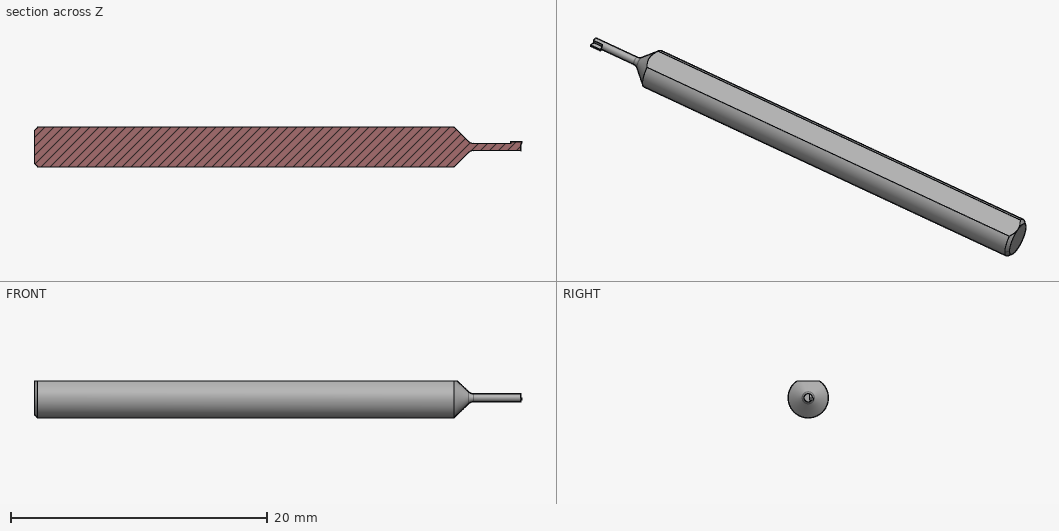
import cadquery as cq
import math

total_length = 38.1
shank_radius = 3.15 / 2
overall_height = 2.9
flat_height = overall_height - shank_radius

rear_chamfer = 0.25
shank_end = 32.75
tip_overhang = 0.1
neck_end = total_length - tip_overhang
neck_radius = 0.325
cone_angle = 44.0
blend_radius = 0.55

tip_length = 0.8
tip_reach = 0.42
tip_inner = 0.1
tip_thickness = 0.2


def revolved_body():
    """Chamfered shank, cone blending tangentially into the slim neck."""
    angle = math.radians(cone_angle)
    blend_y = neck_radius + blend_radius * (1 - math.cos(angle))
    blend_x = shank_end + (shank_radius - blend_y) / math.tan(angle)
    neck_start = blend_x + blend_radius * math.sin(angle)
    mid_x = neck_start - blend_radius * math.sin(angle / 2)
    mid_y = neck_radius + blend_radius * (1 - math.cos(angle / 2))
    return (
        cq.Workplane("XY")
        .lineTo(0, shank_radius - rear_chamfer)
        .lineTo(rear_chamfer, shank_radius)
        .lineTo(shank_end, shank_radius)
        .lineTo(blend_x, blend_y)
        .threePointArc((mid_x, mid_y), (neck_start, neck_radius))
        .lineTo(neck_end, neck_radius)
        .lineTo(neck_end, 0)
        .close()
        .revolve(360, (0, 0, 0), (1, 0, 0))
    )


def shank_flat():
    """Material above the clamping flat."""
    cutter_size = 2 * shank_radius
    return (
        cq.Workplane("XY", origin=(0, 0, flat_height))
        .rect(2 * total_length, cutter_size)
        .extrude(cutter_size)
    )


def rake_notch():
    """Notch above the rake plane, on the +Y side of the neck end."""
    return (
        cq.Workplane("XY")
        .moveTo(neck_end - tip_length, tip_inner)
        .lineTo(total_length, tip_inner)
        .lineTo(total_length, shank_radius)
        .lineTo(neck_end - tip_length, shank_radius)
        .close()
        .extrude(shank_radius)
    )


def cutting_tip():
    """Pointed tooth whose top is the rake plane through the axis."""
    return (
        cq.Workplane("XY")
        .moveTo(neck_end - tip_length, tip_inner)
        .lineTo(neck_end - tip_length, tip_reach)
        .lineTo(total_length, tip_reach)
        .lineTo(neck_end, tip_inner)
        .close()
        .extrude(-tip_thickness)
    )


result = revolved_body().cut(shank_flat()).cut(rake_notch()).union(cutting_tip())